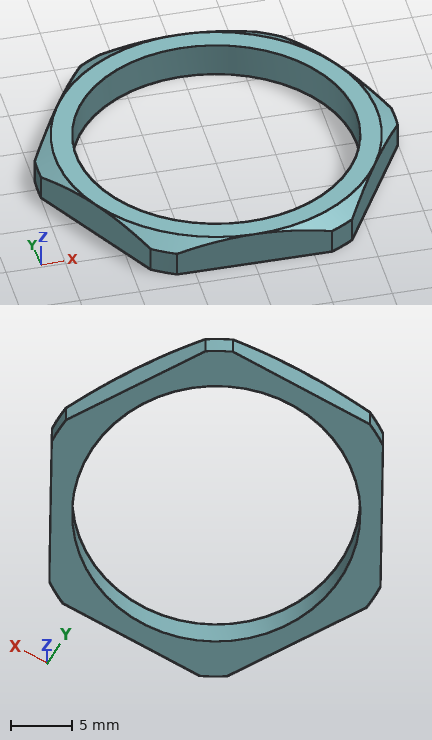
import cadquery as cq
import math

across_flats = 27.0
corner_diameter = 29.97
bore_diameter = 23.5
thickness = 3.0
chamfer_angle = 30.0

hexagon_diameter = across_flats / math.cos(math.radians(30))
flat_radius = across_flats / 2
corner_radius = corner_diameter / 2
chamfer_drop = (corner_radius - flat_radius) * math.tan(math.radians(chamfer_angle))


def hexagonal_prism():
    """Hexagon with two of its corners on the X axis."""
    return cq.Workplane("XY").polygon(6, hexagon_diameter).extrude(thickness)


def turned_envelope():
    """Round blank whose cone trims the top corners down to the flats' inscribed circle."""
    return (
        cq.Workplane("XZ")
        .lineTo(corner_radius, 0)
        .lineTo(corner_radius, thickness - chamfer_drop)
        .lineTo(flat_radius, thickness)
        .lineTo(0, thickness)
        .close()
        .revolve(360, (0, 0, 0), (0, 1, 0))
    )


def bore():
    """Plain hole through the full thickness."""
    return cq.Workplane("XY").circle(bore_diameter / 2).extrude(thickness)


result = hexagonal_prism().intersect(turned_envelope()).cut(bore())